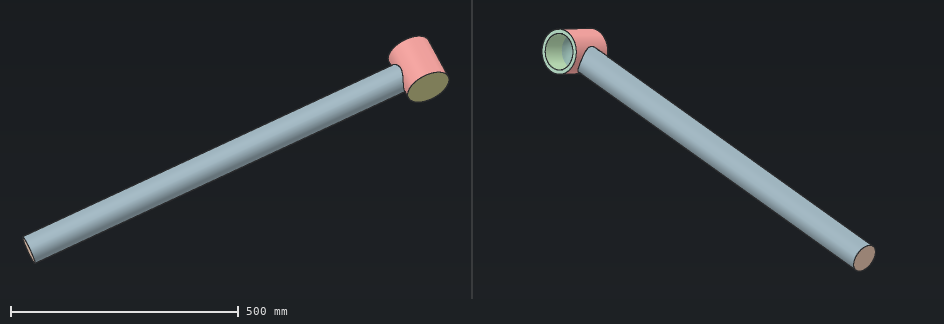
import cadquery as cq

rod_diameter = 65.0
rod_length = 949.0

hub_diameter = 100.0
bore_diameter = 80.0
hub_length = 106.5
bore_radius = bore_diameter / 2
wall = (hub_diameter - bore_diameter) / 2

roll = 14.4
elevation = 15.0
heading = 20.8


def cylinder_along_x(diameter, length, start_x):
    return cq.Workplane("YZ", origin=(start_x, 0, 0)).circle(diameter / 2).extrude(length)


def make_rod():
    """Rod along Y, running from its free end to the hub axis."""
    return cq.Workplane("XZ").circle(rod_diameter / 2).extrude(rod_length)


def make_bore():
    """Bore open at the -X end, closed by a hemisphere that leaves one wall thickness."""
    mouth_x = -hub_length / 2
    dome_center_x = hub_length / 2 - wall - bore_radius
    straight = cylinder_along_x(bore_diameter, dome_center_x - mouth_x, mouth_x)
    dome = cq.Workplane("XY").sphere(bore_radius).translate((dome_center_x, 0, 0))
    return straight.union(dome)


def orient(body):
    """Tilt the part about the hub center, from rod along Y and hub along X."""
    origin = (0, 0, 0)
    rolled = body.rotate(origin, (0, 1, 0), roll)
    raised = rolled.rotate(origin, (1, 0, 0), elevation)
    return raised.rotate(origin, (0, 0, 1), -heading)


hub = cylinder_along_x(hub_diameter, hub_length, -hub_length / 2)
lever = hub.union(make_rod()).cut(make_bore())
result = orient(lever)